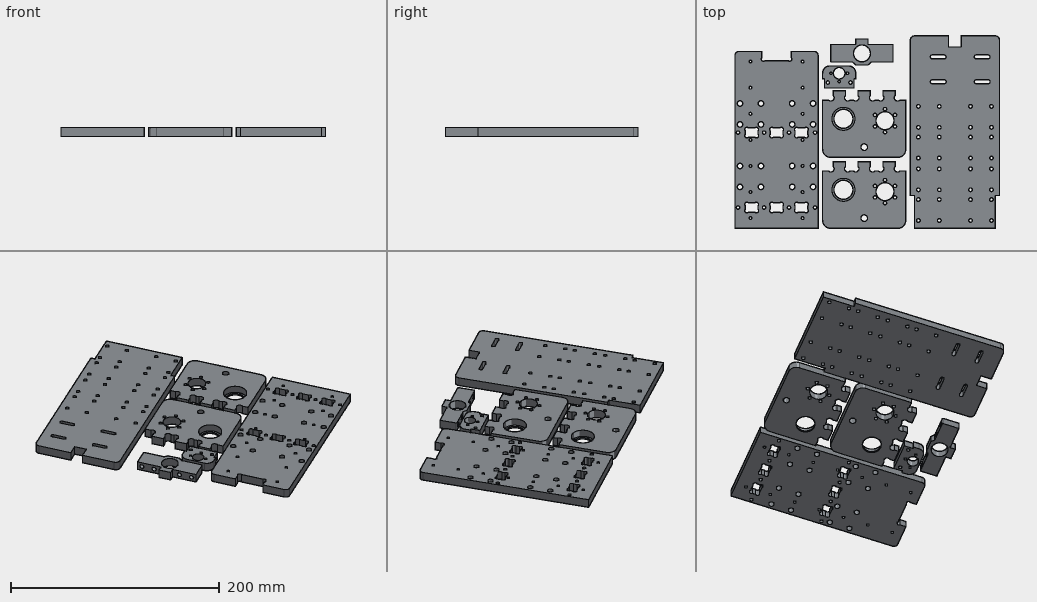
import cadquery as cq
import math

thickness = 9.0
gap = 4.0

tab_width = 12.0
tab_pitch = 24.0
tab_offsets = [-tab_pitch, 0, tab_pitch]

plate_width = 80.0
slotted_height = 170.0
slotted_corner_radius = 4.0
motor_notch_width = 28.0
motor_notch_depth = thickness
window_relief_radius = 2.0
window_low_y = 20.0
window_row_spacing = 72.0
small_hole_diameter = 2.5
small_hole_spread = 50.0
small_hole_margin = 10.0
small_hole_rows = 7
side_hole_diameter = 3.0
side_hole_spread = 74.0
large_hole_diameter = 5.0
large_hole_low_y = 40.0
large_hole_row_spacing = 60.0

pattern_pitch = 20.0
pattern_spread = 50.0

bearing_plate_count = 2
bearing_body_height = 55.0
bearing_corner_radius = 8.0
tab_relief_radius = 3.0
bearing_x = 20.0
bearing_y = 37.0
bearing_diameter = 22.0
bearing_bore_diameter = 18.0
bearing_pocket_depth = 7.0
gearbox_x = 60.0
gearbox_y = 35.3
gearbox_bore_diameter = 17.0
gearbox_bolt_circle = 22.0
gearbox_bolt_diameter = 3.0
gearbox_bolt_count = 6
pivot_hole_diameter = 6.0
pivot_hole_y = 10.0

mount_gap = 2.5
mount_width = 32.0
mount_head_height = 12.5
mount_tab_width = 28.5
mount_corner_radius = 7.0
mount_bore_diameter = 11.0
mount_bore_drop = 7.0
mount_screw_radius = 8.0
mount_screw_diameter = 2.3
mount_bolt_diameter = 3.0
mount_bolt_spread = 21.8
mount_bolt_y = 5.3

bar_length = 60.0
bar_depth = 17.0
bar_x = 8.0
bar_corner_radius = 1.0
bar_tab_width = 12.0
bar_tab_height = 5.3
bar_bore_diameter = 16.0
bar_bore_y = 8.5
bump_top_width = 18.0
bump_width = 12.0
bump_height = 2.8
bar_top_drop = 8.5
bar_screw_diameter = 4.0
bar_screw_end_distances = [4.5, 17.0]

stepped_width = 85.9
stepped_height = 185.0
step_width = 4.0
step_height = 31.5
stepped_corner_radius = 4.5
bar_notch_width = bar_tab_width
bar_notch_depth = 10.7
adjust_slot_length = 15.0
adjust_slot_width = 3.5
adjust_slot_xs = [27.0, 69.0]
adjust_slot_drops = [20.3, 44.2]
stepped_hole_diameter = 3.3
stepped_pattern_low_ys = [7.5, 37.0, 67.5, 97.0]

middle_x = plate_width + gap
stepped_x = middle_x + plate_width + gap
bearing_plate_pitch = bearing_body_height + thickness + gap
mount_y = (bearing_plate_count - 1) * bearing_plate_pitch + bearing_body_height + thickness + mount_gap
bar_y = stepped_height - bar_top_drop - bar_depth


def block(width, height, x=0, y=0):
    """A piece of sheet with its lower-left corner at (x, y)."""
    return cq.Workplane("XY").box(width, height, thickness, centered=False).translate((x, y, 0))


def drill(part, points, diameter):
    """Cut through holes at the given points."""
    drills = cq.Workplane("XY").pushPoints(points).circle(diameter / 2).extrude(thickness)
    return part.cut(drills)


def grid(xs, ys):
    return [(x, y) for x in xs for y in ys]


def spread_about(center, spread):
    return [center - spread / 2, center + spread / 2]


def pattern_columns(plate_middle):
    """The four columns of the left and right square patterns."""
    return [
        x
        for pattern_center in spread_about(plate_middle, pattern_spread)
        for x in spread_about(pattern_center, pattern_pitch)
    ]


def pattern_rows(low_ys):
    return [y for low_y in low_ys for y in (low_y, low_y + pattern_pitch)]


def relieve_corner(part, x, y, x_side, y_side, radius):
    """Cut a round tool relief that passes through an inner corner at (x, y)."""
    inset = radius / math.sqrt(2)
    return drill(part, [(x + x_side * inset, y + y_side * inset)], 2 * radius)


def make_slotted_plate():
    middle = plate_width / 2
    plate = block(plate_width, slotted_height)
    plate = plate.edges("|Z and >Y").fillet(slotted_corner_radius)

    notch_floor = slotted_height - motor_notch_depth
    plate = plate.cut(block(motor_notch_width, motor_notch_depth, middle - motor_notch_width / 2, notch_floor))
    for side in (-1, 1):
        corner_x = middle + side * motor_notch_width / 2
        plate = relieve_corner(plate, corner_x, notch_floor, -side, 1, window_relief_radius)

    window_ys = [window_low_y, window_low_y + window_row_spacing]
    for x, y in grid([middle + offset for offset in tab_offsets], window_ys):
        plate = plate.cut(block(tab_width, thickness, x - tab_width / 2, y - thickness / 2))
        for x_side, y_side in grid((-1, 1), (-1, 1)):
            corner_x = x + x_side * tab_width / 2
            corner_y = y + y_side * thickness / 2
            plate = relieve_corner(plate, corner_x, corner_y, -x_side, -y_side, window_relief_radius)

    side_hole_xs = spread_about(middle, side_hole_spread) + spread_about(middle, tab_pitch)
    plate = drill(plate, grid(side_hole_xs, window_ys), side_hole_diameter)

    small_hole_pitch = (slotted_height - 2 * small_hole_margin) / (small_hole_rows - 1)
    small_hole_ys = [small_hole_margin + row * small_hole_pitch for row in range(small_hole_rows)]
    plate = drill(plate, grid(spread_about(middle, small_hole_spread), small_hole_ys), small_hole_diameter)

    large_hole_ys = pattern_rows([large_hole_low_y, large_hole_low_y + large_hole_row_spacing])
    return drill(plate, grid(pattern_columns(middle), large_hole_ys), large_hole_diameter)


def make_bearing_plate(y):
    middle = plate_width / 2
    plate = block(plate_width, bearing_body_height)
    plate = plate.edges("|Z and <Y").fillet(bearing_corner_radius)

    for offset in tab_offsets:
        plate = plate.union(
            block(tab_width, thickness, middle + offset - tab_width / 2, bearing_body_height)
        )
    for offset, side in grid(tab_offsets, (-1, 1)):
        corner_x = middle + offset + side * tab_width / 2
        plate = relieve_corner(plate, corner_x, bearing_body_height, side, 1, tab_relief_radius)

    plate = drill(plate, [(bearing_x, bearing_y)], bearing_bore_diameter)
    pocket = cq.Workplane("XY", origin=(bearing_x, bearing_y, thickness - bearing_pocket_depth))
    plate = plate.cut(pocket.circle(bearing_diameter / 2).extrude(bearing_pocket_depth))

    plate = drill(plate, [(gearbox_x, gearbox_y)], gearbox_bore_diameter)
    bolt_angles = [math.pi / 2 + 2 * math.pi * i / gearbox_bolt_count for i in range(gearbox_bolt_count)]
    bolt_points = [
        (
            gearbox_x + gearbox_bolt_circle / 2 * math.cos(angle),
            gearbox_y + gearbox_bolt_circle / 2 * math.sin(angle),
        )
        for angle in bolt_angles
    ]
    plate = drill(plate, bolt_points, gearbox_bolt_diameter)
    plate = drill(plate, [(middle, pivot_hole_y)], pivot_hole_diameter)
    return plate.translate((middle_x, y, 0))


def make_motor_mount():
    middle = mount_width / 2
    top = thickness + mount_head_height
    bore_y = top - mount_bore_drop

    head = block(mount_width, mount_head_height, 0, thickness)
    head = head.edges("|Z and >Y").fillet(mount_corner_radius)
    mount = head.union(block(mount_tab_width, thickness, middle - mount_tab_width / 2, 0))

    mount = drill(mount, [(middle, bore_y)], mount_bore_diameter)
    screw_points = [
        (middle - mount_screw_radius, bore_y),
        (middle + mount_screw_radius, bore_y),
        (middle, bore_y - mount_screw_radius),
    ]
    mount = drill(mount, screw_points, mount_screw_diameter)
    mount = drill(mount, grid(spread_about(middle, mount_bolt_spread), [mount_bolt_y]), mount_bolt_diameter)
    return mount.translate((middle_x, mount_y, 0))


def make_clamp_bar():
    middle = bar_length / 2
    bar = block(bar_length, bar_depth)
    bar = bar.edges("|Z and <Y").fillet(bar_corner_radius)
    bar = bar.union(block(bar_tab_width, bar_tab_height, middle - bar_tab_width / 2, bar_depth))
    bump_outline = [
        (middle - bump_top_width / 2, 0),
        (middle - bump_width / 2, -bump_height),
        (middle + bump_width / 2, -bump_height),
        (middle + bump_top_width / 2, 0),
    ]
    bar = bar.union(cq.Workplane("XY").polyline(bump_outline).close().extrude(thickness))
    bar = drill(bar, [(middle, bar_bore_y)], bar_bore_diameter)

    for distance in bar_screw_end_distances:
        for x in (distance, bar_length - distance):
            screw = cq.Workplane("XZ", origin=(x, 0, thickness / 2)).circle(bar_screw_diameter / 2)
            bar = bar.cut(screw.extrude(-bar_depth))
    return bar.translate((middle_x + bar_x, bar_y, 0))


def make_stepped_plate():
    middle = stepped_width / 2
    plate = block(stepped_width, stepped_height)
    plate = plate.edges("|Z and >Y").fillet(stepped_corner_radius)
    for x in (0, stepped_width - step_width):
        plate = plate.cut(block(step_width, step_height, x, 0))
    plate = plate.cut(
        block(bar_notch_width, bar_notch_depth, middle - bar_notch_width / 2, stepped_height - bar_notch_depth)
    )

    slot_ys = [stepped_height - drop for drop in adjust_slot_drops]
    slots = cq.Workplane("XY").pushPoints(grid(adjust_slot_xs, slot_ys))
    plate = plate.cut(slots.slot2D(adjust_slot_length, adjust_slot_width).extrude(thickness))

    hole_ys = pattern_rows(stepped_pattern_low_ys)
    plate = drill(plate, grid(pattern_columns(middle), hole_ys), stepped_hole_diameter)
    return plate.translate((stepped_x, 0, 0))


slotted_plate = make_slotted_plate()
bearing_plates = [make_bearing_plate(row * bearing_plate_pitch) for row in range(bearing_plate_count)]
motor_mount = make_motor_mount()
clamp_bar = make_clamp_bar()
stepped_plate = make_stepped_plate()

result = cq.Compound.makeCompound([
    slotted_plate.val(),
    *[plate.val() for plate in bearing_plates],
    motor_mount.val(),
    clamp_bar.val(),
    stepped_plate.val(),
])